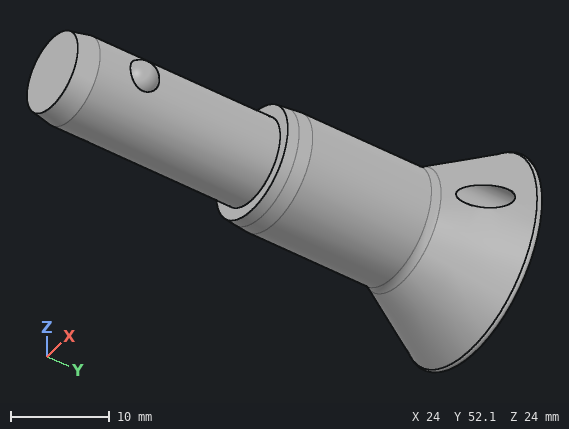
import cadquery as cq
import math

length = 52.1
back_y = length / 2
tip_y = -length / 2

head_diameter = 24.0
head_radius = head_diameter / 2
rim_thickness = 0.6
rim_bulge = 0.15
flare_length = 9.55
blend_radius = 2.0

handle_radius = 6.65
handle_length = 27.5
collar_radius = 6.5
collar_front_radius = 6.35
collar_length = 1.25
taper_length = 1.55

shank_radius = 5.0
tip_radius = 4.55
tip_length = 2.4

ball_radius = 2.0
ball_reach = 6.1
ball_from_tip = 7.9

hole_diameter = 3.0
hole_offset = 9.2

rim_y = back_y - rim_thickness
rim_edge_radius = head_radius - rim_bulge
flare_y = back_y - flare_length
flare_angle = math.atan2(rim_edge_radius - handle_radius, rim_y - flare_y)
blend_tangent = blend_radius * math.tan(flare_angle / 2)
blend_start_y = flare_y - blend_tangent
blend_centre_radius = handle_radius + blend_radius


def blend_point(angle):
    """Point of the blend arc after turning by angle away from the pin axis."""
    return (
        blend_centre_radius - blend_radius * math.cos(angle),
        blend_start_y + blend_radius * math.sin(angle),
    )


def make_body():
    """Head, handle and shank revolved about the Y axis."""
    handle_front_y = back_y - handle_length
    collar_y = handle_front_y + collar_length
    profile = (
        cq.Workplane("XY")
        .moveTo(0, tip_y)
        .lineTo(tip_radius, tip_y)
        .lineTo(shank_radius, tip_y + tip_length)
        .lineTo(shank_radius, handle_front_y)
        .lineTo(collar_front_radius, handle_front_y)
        .lineTo(collar_radius, collar_y)
        .lineTo(handle_radius, collar_y + taper_length)
        .lineTo(handle_radius, blend_start_y)
        .threePointArc(blend_point(flare_angle / 2), blend_point(flare_angle))
        .lineTo(rim_edge_radius, rim_y)
        .threePointArc((head_radius, back_y - rim_thickness / 2), (rim_edge_radius, back_y))
        .lineTo(0, back_y)
        .close()
    )
    return profile.revolve(360, (0, 0, 0), (0, 1, 0))


def make_ball(side):
    """Locking ball on the +X (side = 1) or -X (side = -1) flank of the shank."""
    centre = (side * (ball_reach - ball_radius), tip_y + ball_from_tip, 0)
    return cq.Workplane("XY").sphere(ball_radius).translate(centre)


def make_lanyard_hole():
    """Cutter parallel to Y, running through the whole flare."""
    return (
        cq.Workplane("XZ", origin=(hole_offset, back_y, 0))
        .circle(hole_diameter / 2)
        .extrude(flare_length)
    )


result = make_body().cut(make_lanyard_hole())
for side in (-1, 1):
    result = result.union(make_ball(side))